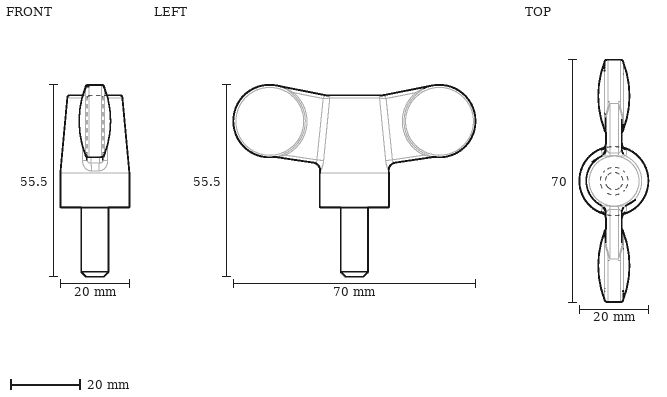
import cadquery as cq
import math

HUB_RADIUS = 10.0
HUB_TOP_RADIUS = 7.9
COLLAR_HEIGHT = 10.0
HUB_HEIGHT = 32.5
HUB_BASE_ROUND = 0.35
STUD_RADIUS = 4.0
STUD_LENGTH = 20.0
STUD_CHAMFER = 1.5

SPAN = 70.0
PAD_RADIUS = 10.5
PAD_FACE_RADIUS = 9.8
PAD_RIM_HALF_WIDTH = 1.8
PAD_FACE_HALF_WIDTH = 2.7
PAD_CROWN_HALF_WIDTH = 4.55
PAD_Z = 25.0
PAD_Y = SPAN / 2 - PAD_RADIUS

WEB_THICKNESS = 4.6
WEB_TOP_ANGLE = math.radians(11.2)
WEB_BOTTOM_ANGLE = math.radians(8.4)
WEB_ROOT_Y = 5.6
ROOT_ROUND = 2.1
PAD_BLEND_ROUND = 0.7
WEB_EDGE_ROUND = 1.05
HUB_TOP_ROUND = 0.8


def make_hub():
    """Cylindrical collar with a tapered upper part and rounded end rims."""
    return (
        cq.Workplane("XZ")
        .lineTo(HUB_RADIUS, 0)
        .lineTo(HUB_RADIUS, COLLAR_HEIGHT)
        .lineTo(HUB_TOP_RADIUS, HUB_HEIGHT)
        .lineTo(0, HUB_HEIGHT)
        .close()
        .revolve(360, (0, 0, 0), (0, 1, 0))
        .faces("<Z")
        .edges()
        .fillet(HUB_BASE_ROUND)
        .faces(">Z")
        .edges()
        .fillet(HUB_TOP_ROUND)
    )


def make_web():
    """Flat web on the +Y side, with rounded upper and lower edges."""
    top_tangent = (
        PAD_Y - PAD_RADIUS * math.sin(WEB_TOP_ANGLE),
        PAD_Z + PAD_RADIUS * math.cos(WEB_TOP_ANGLE),
    )
    bottom_tangent = (
        PAD_Y - PAD_RADIUS * math.sin(WEB_BOTTOM_ANGLE),
        PAD_Z - PAD_RADIUS * math.cos(WEB_BOTTOM_ANGLE),
    )
    top_drop = (top_tangent[0] - WEB_ROOT_Y) * math.tan(WEB_TOP_ANGLE)
    bottom_drop = (bottom_tangent[0] - WEB_ROOT_Y) * math.tan(WEB_BOTTOM_ANGLE)
    outline = [
        (WEB_ROOT_Y, top_tangent[1] - top_drop),
        top_tangent,
        (PAD_Y, PAD_Z),
        bottom_tangent,
        (WEB_ROOT_Y, bottom_tangent[1] - bottom_drop),
    ]
    web = cq.Workplane("YZ").polyline(outline).close().extrude(WEB_THICKNESS / 2, both=True)
    long_edges = cq.selectors.BoxSelector(
        (-WEB_THICKNESS, HUB_RADIUS, 0), (WEB_THICKNESS, PAD_Y - PAD_RADIUS / 2, SPAN)
    )
    return web.edges(long_edges).fillet(WEB_EDGE_ROUND)


def make_pad():
    """Disc on the +Y side with rounded rim and a shallow dome on both faces."""
    rim_drop = PAD_RADIUS - PAD_FACE_RADIUS
    rim_rise = PAD_FACE_HALF_WIDTH - PAD_RIM_HALF_WIDTH
    diagonal = math.sqrt(0.5)
    rim_mid_radius = PAD_FACE_RADIUS + rim_drop * diagonal
    rim_mid_width = PAD_RIM_HALF_WIDTH + rim_rise * diagonal

    crown_height = PAD_CROWN_HALF_WIDTH - PAD_FACE_HALF_WIDTH
    dome_radius = (PAD_FACE_RADIUS**2 + crown_height**2) / (2 * crown_height)
    dome_mid_radius = PAD_FACE_RADIUS / 2
    dome_centre = PAD_CROWN_HALF_WIDTH - dome_radius
    dome_mid_width = dome_centre + math.sqrt(dome_radius**2 - dome_mid_radius**2)

    half_pad = (
        cq.Workplane("XY")
        .lineTo(0, PAD_RADIUS)
        .lineTo(PAD_RIM_HALF_WIDTH, PAD_RADIUS)
        .threePointArc((rim_mid_width, rim_mid_radius), (PAD_FACE_HALF_WIDTH, PAD_FACE_RADIUS))
        .threePointArc((dome_mid_width, dome_mid_radius), (PAD_CROWN_HALF_WIDTH, 0))
        .close()
        .revolve(360, (0, 0, 0), (1, 0, 0))
    )
    return half_pad.union(half_pad.mirror("YZ")).translate((0, PAD_Y, PAD_Z))


def on_both_sides(solid):
    """The +Y solid together with its mirror image on -Y."""
    return solid.union(solid.mirror("XZ"))


def make_stud():
    """Plain round stud below the hub with a chamfered tip."""
    return (
        cq.Workplane("XY")
        .workplane(offset=-STUD_LENGTH)
        .circle(STUD_RADIUS)
        .extrude(STUD_LENGTH + HUB_BASE_ROUND)
        .faces("<Z")
        .chamfer(STUD_CHAMFER)
    )


def round_web_roots(body):
    """Blend both webs into the hub along the curves where they meet it."""
    for side in (1, -1):
        seam = cq.selectors.BoxSelector(
            (-WEB_THICKNESS, side * WEB_ROOT_Y, COLLAR_HEIGHT),
            (WEB_THICKNESS, side * (HUB_RADIUS + ROOT_ROUND / 2), HUB_HEIGHT + HUB_TOP_ROUND),
        )
        body = body.edges(seam).fillet(ROOT_ROUND)
    return body


def round_pad_seams(body):
    """Blend the inner arc of each pad into the flat web faces."""
    for side in (1, -1):
        seam = cq.selectors.BoxSelector(
            (-WEB_THICKNESS, side * HUB_RADIUS, 0),
            (WEB_THICKNESS, side * (PAD_Y - PAD_RADIUS / 2), SPAN),
        )
        body = body.edges(seam).edges("%CIRCLE").fillet(PAD_BLEND_ROUND)
    return body


hub_and_webs = round_web_roots(make_hub().union(on_both_sides(make_web())))
wings = round_pad_seams(hub_and_webs.union(on_both_sides(make_pad())))
result = wings.union(make_stud())